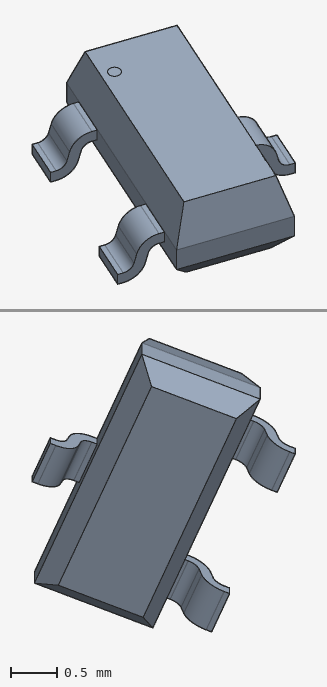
import cadquery as cq
import math

LENGTH = 3.0
SPAN = 2.5
HEIGHT = 1.09

HOUSING_DEPTH = 1.395
STANDOFF = 0.02
BELT_BOTTOM = 0.288
BELT_TOP = 0.57
TOP_INSET = 0.153
BOTTOM_INSET = 0.198

LEAD_WIDTH = 0.505
LEAD_THICKNESS = 0.14
LEAD_TOP = 0.56
LEAD_PITCH = 1.83
SHOULDER_LENGTH = 0.063
BEND_ANGLE = math.radians(75)
INNER_RADIUS = 0.132
OUTER_RADIUS = INNER_RADIUS + LEAD_THICKNESS
LEAD_REACH = (SPAN - HOUSING_DEPTH) / 2

MARK_DIAMETER = 0.15
MARK_DEPTH = 0.03
MARK_X = -LEAD_PITCH / 2
MARK_Y = -0.385


def frustum(z_start, inset_start, z_end, inset_end):
    """Rectangular block whose four sides slope between two insets."""
    return (
        cq.Workplane("XY", origin=(0, 0, z_start))
        .rect(LENGTH - 2 * inset_start, HOUSING_DEPTH - 2 * inset_start)
        .workplane(offset=z_end - z_start)
        .rect(LENGTH - 2 * inset_end, HOUSING_DEPTH - 2 * inset_end)
        .loft(ruled=True)
    )


def make_mark():
    return (
        cq.Workplane("XY", origin=(MARK_X, MARK_Y, HEIGHT - MARK_DEPTH))
        .circle(MARK_DIAMETER / 2)
        .extrude(MARK_DEPTH)
    )


def make_housing(mark):
    """Straight belt between a tapered base and a tapered top, recessed for the mark."""
    base = frustum(STANDOFF, BOTTOM_INSET, BELT_BOTTOM, 0)
    belt = frustum(BELT_BOTTOM, 0, BELT_TOP, 0)
    top = frustum(BELT_TOP, 0, HEIGHT, TOP_INSET)
    return base.union(belt).union(top).cut(mark)


def make_lead():
    """Lead centred on X = 0 that leaves the rear face of the housing toward +Y."""
    bend_drop = (INNER_RADIUS + OUTER_RADIUS) * (1 - math.cos(BEND_ANGLE))
    bend_run = (INNER_RADIUS + OUTER_RADIUS) * math.sin(BEND_ANGLE)
    leg_drop = LEAD_TOP - LEAD_THICKNESS - bend_drop
    leg_run = leg_drop / math.tan(BEND_ANGLE)

    root_y = HOUSING_DEPTH / 2
    tip_y = root_y + LEAD_REACH
    upper_y = root_y + SHOULDER_LENGTH
    upper_z = LEAD_TOP - OUTER_RADIUS
    lower_y = upper_y + bend_run + leg_run
    lower_z = OUTER_RADIUS

    def upper_bend(radius, angle):
        return (upper_y + radius * math.sin(angle), upper_z + radius * math.cos(angle))

    def lower_bend(radius, angle):
        return (lower_y - radius * math.sin(angle), lower_z - radius * math.cos(angle))

    half_angle = BEND_ANGLE / 2
    return (
        cq.Workplane("YZ", origin=(-LEAD_WIDTH / 2, 0, 0))
        .moveTo(root_y, LEAD_TOP)
        .lineTo(*upper_bend(OUTER_RADIUS, 0))
        .threePointArc(upper_bend(OUTER_RADIUS, half_angle), upper_bend(OUTER_RADIUS, BEND_ANGLE))
        .lineTo(*lower_bend(INNER_RADIUS, BEND_ANGLE))
        .threePointArc(lower_bend(INNER_RADIUS, half_angle), lower_bend(INNER_RADIUS, 0))
        .lineTo(tip_y, LEAD_THICKNESS)
        .lineTo(tip_y, 0)
        .lineTo(*lower_bend(OUTER_RADIUS, 0))
        .threePointArc(lower_bend(OUTER_RADIUS, half_angle), lower_bend(OUTER_RADIUS, BEND_ANGLE))
        .lineTo(*upper_bend(INNER_RADIUS, BEND_ANGLE))
        .threePointArc(upper_bend(INNER_RADIUS, half_angle), upper_bend(INNER_RADIUS, 0))
        .lineTo(root_y, LEAD_TOP - LEAD_THICKNESS)
        .close()
        .extrude(LEAD_WIDTH)
    )


lead_places = [(0, 0), (-LEAD_PITCH / 2, 180), (LEAD_PITCH / 2, 180)]
leads = []
for lead_x, turn in lead_places:
    lead = make_lead().rotate((0, 0, 0), (0, 0, 1), turn).translate((lead_x, 0, 0))
    leads.append(lead.val())

mark = make_mark()
housing = make_housing(mark)

result = cq.Compound.makeCompound([housing.val(), mark.val(), *leads])